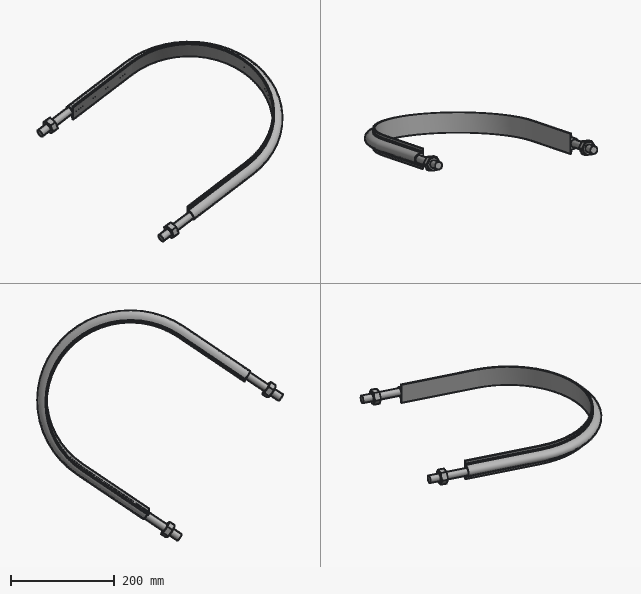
import cadquery as cq
import math

rod_diameter = 15.5
leg_offset = 170.5
overall_length = 414.75

strip_width = 40.0
strip_inner_radius = 161.0
strip_thickness = 3.0
pad_width = 30.0
pad_rise = 0.4
sleeve_wall = 2.0
sleeve_width = 23.0
liner_leg_length = 156.0

overall_width = 371.02
nut_thickness = 13.0
nut_end_setback = 20.5
nut_face_ratio = 0.95
nut_chamfer_angle = 30.0

crown_radius = leg_offset + rod_diameter / 2 + sleeve_wall
rod_leg_length = overall_length - crown_radius
strip_outer_radius = strip_inner_radius + strip_thickness
pad_radius = strip_outer_radius + pad_rise
sleeve_height = crown_radius - pad_radius
nut_corner_diameter = overall_width - 2 * leg_offset
nut_flats_width = nut_corner_diameter * math.cos(math.radians(30))
nut_face_y = nut_end_setback - rod_leg_length


def leg_section(leg_length):
    """Sketch plane across the end of the +X leg, where local x is X and local y is Z."""
    return cq.Workplane("XZ", origin=(0, -leg_length, 0))


def sweep_u(section, leg_length):
    """Sweep a leg section up the +X leg, round the bend and down the -X leg."""
    path = (
        cq.Workplane("XY")
        .moveTo(leg_offset, -leg_length)
        .lineTo(leg_offset, 0)
        .threePointArc((0, leg_offset), (-leg_offset, 0))
        .lineTo(-leg_offset, -leg_length)
    )
    return section.sweep(path)


def make_rod():
    section = leg_section(rod_leg_length).center(leg_offset, 0).circle(rod_diameter / 2)
    return sweep_u(section, rod_leg_length)


def make_liner(rod):
    half_strip = strip_width / 2
    half_pad = pad_width / 2
    half_sleeve = sleeve_width / 2
    section = (
        leg_section(liner_leg_length)
        .moveTo(strip_inner_radius, -half_strip)
        .lineTo(strip_outer_radius, -half_strip)
        .lineTo(strip_outer_radius, -half_pad)
        .lineTo(pad_radius, -half_pad)
        .lineTo(pad_radius, -half_sleeve)
        .ellipseArc(sleeve_height, half_sleeve, -90, 90)
        .lineTo(pad_radius, half_pad)
        .lineTo(strip_outer_radius, half_pad)
        .lineTo(strip_outer_radius, half_strip)
        .lineTo(strip_inner_radius, half_strip)
        .close()
    )
    return sweep_u(section, liner_leg_length).cut(rod)


def make_nut(leg_x):
    """Hexagon nut on one leg, bored to fit the rod and bevelled on the face toward the rod end."""
    hexagon = (
        cq.Workplane("XZ")
        .polygon(6, nut_corner_diameter)
        .circle(rod_diameter / 2)
        .extrude(-nut_thickness)
    )
    face_radius = nut_flats_width / 2 * nut_face_ratio
    cone_radius = face_radius + nut_thickness / math.tan(math.radians(nut_chamfer_angle))
    bevel_cone = (
        cq.Workplane("XY")
        .lineTo(face_radius, 0)
        .lineTo(cone_radius, nut_thickness)
        .lineTo(0, nut_thickness)
        .close()
        .revolve(360, (0, 0, 0), (0, 1, 0))
    )
    return hexagon.intersect(bevel_cone).translate((leg_x, nut_face_y, 0))


rod = make_rod()
liner = make_liner(rod)
nuts = [make_nut(leg_x) for leg_x in (-leg_offset, leg_offset)]

result = cq.Compound.makeCompound([rod.val(), liner.val(), *[nut.val() for nut in nuts]])